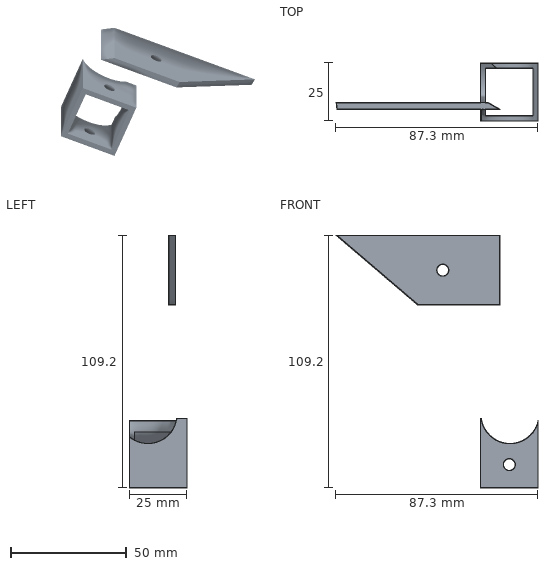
import cadquery as cq

total_width = 87.3
total_height = 109.2
body_height = 30.0
bolt_diameter = 5.0

socket_side = 25.0
wall = 2.3
pipe_radius = socket_side / 2
pipe_axis_height = 31.7
pipe_axis_offset = 12.8
branch_axis_y = 16.9
socket_left = total_width - socket_side
socket_center_x = total_width - socket_side / 2
socket_hole_height = 10.0

plate_thickness = 3.0
plate_front_y = 5.0
plate_length = 70.7
plate_bottom_start = 35.2
plate_bevel = 5.1
slant_bevel = 0.3
plate_hole_x = 46.1
plate_hole_height = 94.1
plate_bottom = total_height - body_height


def cylinder_along(start, direction, radius, length):
    """Solid cylinder from a start point along a direction."""
    return cq.Workplane(cq.Solid.makeCylinder(radius, length, cq.Vector(*start), cq.Vector(*direction)))


def make_socket():
    outer = cq.Workplane("XY").box(socket_side, socket_side, body_height, centered=False)
    bore_side = socket_side - 2 * wall
    bore = (
        cq.Workplane("XY")
        .box(bore_side, bore_side, body_height, centered=False)
        .translate((wall, wall, 0))
    )
    tube = outer.cut(bore).translate((socket_left, 0, 0))

    main_axis_x = socket_left + pipe_axis_offset
    main_pipe = cylinder_along((main_axis_x, 0, pipe_axis_height), (0, 1, 0), pipe_radius, socket_side)
    branch_start = (socket_left, branch_axis_y, pipe_axis_height)
    branch_pipe = cylinder_along(branch_start, (1, 0, 0), pipe_radius, pipe_axis_offset)
    bolt_start = (socket_center_x, 0, socket_hole_height)
    bolt_hole = cylinder_along(bolt_start, (0, 1, 0), bolt_diameter / 2, socket_side)
    return tube.cut(main_pipe).cut(branch_pipe).cut(bolt_hole)


def plate_outline(y, slant_shift, right_x):
    """Closed trapezoid at depth y, its slanted end moved by slant_shift along X."""
    corners = [
        (slant_shift, total_height),
        (plate_bottom_start + slant_shift, plate_bottom),
        (right_x, plate_bottom),
        (right_x, total_height),
    ]
    return cq.Wire.makePolygon([cq.Vector(x, y, z) for x, z in corners], close=True)


def make_plate():
    front_outline = plate_outline(plate_front_y, slant_bevel, plate_length)
    back_outline = plate_outline(plate_front_y + plate_thickness, 0, plate_length - plate_bevel)
    panel = cq.Workplane(cq.Solid.makeLoft([front_outline, back_outline], True))
    bolt_start = (plate_hole_x, plate_front_y, plate_hole_height)
    bolt_hole = cylinder_along(bolt_start, (0, 1, 0), bolt_diameter / 2, plate_thickness)
    return panel.cut(bolt_hole)


socket = make_socket()
plate = make_plate()
result = cq.Compound.makeCompound([socket.val(), plate.val()])